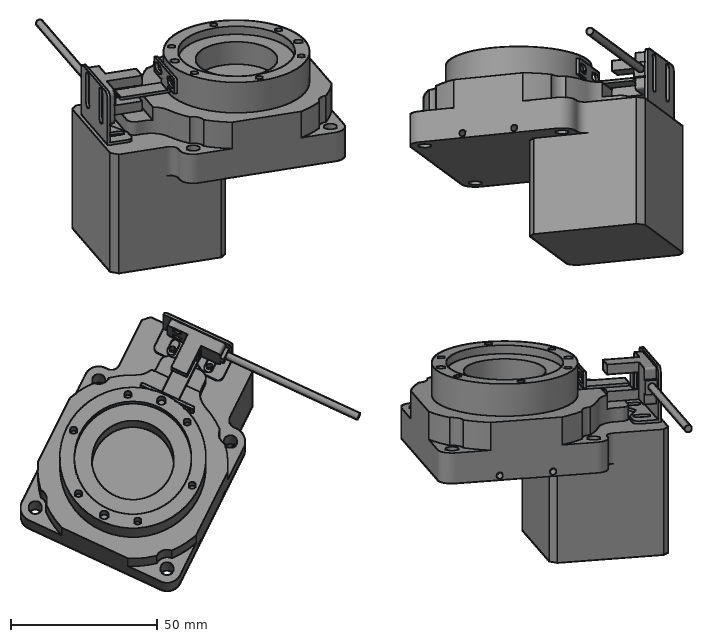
import cadquery as cq
import math

overall_length = 92.2
overall_depth = 83.0

plate_width = 60.0
plate_height = 11.0
plate_corner_radius = 5.0
plate_hole_spacing = 50.0
plate_hole_diameter = 4.5
plate_to_motor_fillet = 2.95

motor_width = 42.0
motor_drop = 34.0
motor_chamfer = 2.3

tier_height = 10.0
tier_radius = 32.5
scallop_radius = 4.0
neck_half_width = 8.5
neck_reach = 42.1
neck_end_radius = 2.95
neck_blend_radius = 8.0
neck_step_reach = 33.8
neck_step_depth = 5.0

table_height = 11.5
table_radius = 25.0
recess_radius = 20.0
recess_depth = 3.0
bore_radius = 14.0
bore_depth = 8.5
table_hole_circle_radius = 22.5
table_screw_count = 6
table_screw_diameter = 2.5
table_dowel_diameter = 3.0
table_hole_depth = 5.0

side_hole_spacing = 18.8
side_hole_height = 1.7
side_hole_diameter = 2.2
side_hole_depth = 5.0
drill_tip_angle = 118.0

bracket_screw_spacing = 14.0
bracket_screw_reach = 45.9
bracket_screw_diameter = 2.0
bracket_screw_depth = 5.0

plate_half = plate_width / 2
plate_top = plate_height
tier_top = plate_top + tier_height
table_top = tier_top + table_height
motor_front = plate_half - overall_depth
motor_center_y = motor_front + motor_width / 2

sheet = 1.0
bend_radius = 0.5

flag_center_x = -0.8
flag_width = 20.0
flag_plate_height = 5.6
flag_corner_radius = 0.55
flag_drop = 2.4
flag_height = 8.0
flag_leg_width = 6.45
flag_leg_corner_radius = 0.5
flag_leg_reach = 43.0
flag_slot_length = 5.9
flag_slot_height = 3.0
flag_slot_spacing = 12.0

bracket_width = 26.0
bracket_height = 19.7
bracket_front = -51.8
bracket_back = -42.3
bracket_corner_radius = 2.0
bracket_slot_width = 3.3
bracket_slot_length = 13.3
bracket_slot_spacing = 13.1
bracket_slot_top_margin = 0.8
foot_slot_width = 2.95
foot_slot_length = 6.0
foot_slot_back = -43.5
foot_notch_half_width = 7.1
foot_notch_depth = 3.9

sensor_height = 13.3
sensor_axis_height = 12.4
sensor_left = -10.7
sensor_left_corner_radius = 0.9
sensor_body_back = -46.5
ear_right = 10.1
ear_back = -48.1
ear_corner_radius = 2.1
jaw_left = -3.5
jaw_right = 2.4
jaw_tip = -35.2
throat_height = 6.1
throat_shoulder = -45.8
rib_end = -44.6
rib_inset = 0.55
rib_chamfer = 0.3
sensor_hole_x = 6.45
sensor_hole_spacing = 6.8
sensor_hole_diameter = 3.3
boss_length = 1.4
boss_height = 5.1
cable_diameter = 2.6
cable_rise = 0.2
cable_y = -48.9

sensor_front = bracket_front + sheet
sensor_z = plate_top + sensor_axis_height


def box(x_range, y_range, z_range):
    """Box between the given limits."""
    (x0, x1), (y0, y1), (z0, z1) = x_range, y_range, z_range
    return cq.Workplane("XY").box(x1 - x0, y1 - y0, z1 - z0, centered=False).translate((x0, y0, z0))


def mirrored(half_width, center=0.0):
    """Range of twice the half width about a centre."""
    return (center - half_width, center + half_width)


def drilled_hole(diameter, depth):
    """Cutter for a blind hole with a conical tip, going down from the origin."""
    radius = diameter / 2
    tip = radius / math.tan(math.radians(drill_tip_angle / 2))
    profile = [(0, 0), (radius, 0), (radius, -depth), (0, -depth - tip)]
    return cq.Workplane("XZ").polyline(profile).close().revolve(360, (0, 0), (0, 1))


def make_plate_and_motor():
    plate = box(mirrored(plate_half), mirrored(plate_half), (0, plate_top))
    plate = plate.edges("|Z").fillet(plate_corner_radius)
    motor = (
        cq.Workplane("XY", origin=(0, motor_center_y, -motor_drop))
        .rect(motor_width, motor_width)
        .extrude(motor_drop + plate_top)
        .edges("|Z")
        .chamfer(motor_chamfer)
    )
    for side in (-1, 1):
        corner_x = side * motor_width / 2
        strip = box(
            sorted((corner_x, corner_x + side * plate_to_motor_fillet)),
            (-plate_half - plate_to_motor_fillet, -plate_half),
            (0, plate_top),
        )
        rounding = (
            cq.Workplane("XY")
            .center(corner_x + side * plate_to_motor_fillet, -plate_half - plate_to_motor_fillet)
            .circle(plate_to_motor_fillet)
            .extrude(plate_top)
        )
        plate = plate.union(strip.cut(rounding))
    return plate.union(motor)


def make_tier():
    disc = cq.Workplane("XY").circle(tier_radius).extrude(tier_height)
    tier = disc.intersect(box(mirrored(plate_half), mirrored(plate_half), (0, tier_height)))

    blend_x = neck_half_width + neck_blend_radius
    blend_y = -math.sqrt((tier_radius + neck_blend_radius) ** 2 - blend_x**2)
    touch = tier_radius / (tier_radius + neck_blend_radius)
    web = (
        cq.Workplane("XY")
        .polyline([
            (0, 0),
            (-blend_x * touch, blend_y * touch),
            (-blend_x, blend_y),
            (blend_x, blend_y),
            (blend_x * touch, blend_y * touch),
        ])
        .close()
        .extrude(tier_height)
    )
    blends = (
        cq.Workplane("XY")
        .pushPoints([(-blend_x, blend_y), (blend_x, blend_y)])
        .circle(neck_blend_radius)
        .extrude(tier_height)
    )
    neck = box(mirrored(neck_half_width), (-neck_reach, 0), (0, tier_height))
    neck = neck.edges("|Z and <Y").fillet(neck_end_radius)
    tier = tier.union(web.cut(blends)).union(neck)

    step = box(
        mirrored(tier_radius),
        (-neck_reach, -neck_step_reach),
        (tier_height - neck_step_depth, tier_height),
    )
    scallops = (
        cq.Workplane("XY")
        .rect(plate_hole_spacing, plate_hole_spacing, forConstruction=True)
        .vertices()
        .circle(scallop_radius)
        .extrude(tier_height)
    )
    return tier.cut(step).cut(scallops).translate((0, 0, plate_top))


def make_table():
    table = cq.Workplane("XY", origin=(0, 0, tier_top)).circle(table_radius).extrude(table_height)
    return (
        table.faces(">Z").workplane()
        .pushPoints([(0, table_hole_circle_radius), (0, -table_hole_circle_radius)])
        .hole(table_dowel_diameter, table_hole_depth)
    )


def make_housing():
    housing = make_plate_and_motor().union(make_tier()).union(make_table())
    recess = cq.Workplane("XY", origin=(0, 0, table_top)).circle(recess_radius).extrude(-recess_depth)
    bore = (
        cq.Workplane("XY", origin=(0, 0, table_top))
        .circle(bore_radius)
        .extrude(-recess_depth - bore_depth)
    )
    mounting_holes = (
        cq.Workplane("XY")
        .rect(plate_hole_spacing, plate_hole_spacing, forConstruction=True)
        .vertices()
        .circle(plate_hole_diameter / 2)
        .extrude(plate_top)
    )
    housing = housing.cut(recess).cut(bore).cut(mounting_holes)

    table_screw = drilled_hole(table_screw_diameter, table_hole_depth)
    for index in range(table_screw_count):
        angle = 360 * index / table_screw_count
        hole = table_screw.translate((table_hole_circle_radius, 0, table_top))
        housing = housing.cut(hole.rotate((0, 0, 0), (0, 0, 1), angle))

    bracket_screw = drilled_hole(bracket_screw_diameter, bracket_screw_depth)
    side_hole = drilled_hole(side_hole_diameter, side_hole_depth).rotate((0, 0, 0), (0, 1, 0), -90)
    for side in (-1, 1):
        screw_x = side * bracket_screw_spacing / 2
        housing = housing.cut(bracket_screw.translate((screw_x, -bracket_screw_reach, plate_top)))
        hole_y = side * side_hole_spacing / 2
        housing = housing.cut(side_hole.translate((-plate_half, hole_y, side_hole_height)))
    return housing


def make_flag():
    top = table_top - flag_drop
    bottom = top - flag_height
    back = -table_radius
    leg_x = mirrored(flag_leg_width / 2, flag_center_x)
    plate = box(
        mirrored(flag_width / 2, flag_center_x),
        (back - sheet, back),
        (top - flag_plate_height, top),
    )
    plate = plate.edges("|Y").fillet(flag_corner_radius)
    slots = (
        cq.Workplane("XZ", origin=(flag_center_x, back, top - flag_plate_height / 2))
        .pushPoints([(-flag_slot_spacing / 2, 0), (flag_slot_spacing / 2, 0)])
        .slot2D(flag_slot_length, flag_slot_height)
        .extrude(sheet)
    )
    web = box(leg_x, (back - sheet, back), (bottom, top - flag_plate_height / 2))
    leg = box(leg_x, (-flag_leg_reach, back), (bottom, bottom + sheet))
    leg = leg.edges("|Z and <Y").fillet(flag_leg_corner_radius)
    angle = web.union(leg).edges("|X and >Y and <Z").fillet(bend_radius)
    return plate.cut(slots).union(angle)


def make_bracket():
    x_range = mirrored(bracket_width / 2)
    plate = box(x_range, (bracket_front, sensor_front), (plate_top, plate_top + bracket_height))
    plate = plate.edges("|Y and >Z").fillet(bracket_corner_radius)
    foot = box(x_range, (bracket_front, bracket_back), (plate_top, plate_top + sheet))
    foot = foot.edges("|Z and >Y").fillet(bracket_corner_radius)
    bracket = plate.union(foot).edges("|X and <Y and <Z").fillet(bend_radius)

    slot_z = plate_top + bracket_height - bracket_slot_top_margin - bracket_slot_length / 2
    sensor_slots = (
        cq.Workplane("XZ", origin=(0, sensor_front, slot_z))
        .pushPoints([(-bracket_slot_spacing / 2, 0), (bracket_slot_spacing / 2, 0)])
        .slot2D(bracket_slot_length, bracket_slot_width, 90)
        .extrude(sheet)
    )
    foot_slots = (
        cq.Workplane("XY", origin=(0, foot_slot_back - foot_slot_length / 2, plate_top))
        .pushPoints([(-bracket_screw_spacing / 2, 0), (bracket_screw_spacing / 2, 0)])
        .slot2D(foot_slot_length, foot_slot_width, 90)
        .extrude(sheet)
    )
    notch = (
        cq.Workplane("XY", origin=(0, bracket_back, plate_top))
        .polyline([(-foot_notch_half_width, 0), (0, -foot_notch_depth), (foot_notch_half_width, 0)])
        .close()
        .extrude(sheet)
    )
    return bracket.cut(sensor_slots).cut(foot_slots).cut(notch)


def make_sensor():
    z_range = mirrored(sensor_height / 2, sensor_z)
    body = box((sensor_left, jaw_right), (sensor_front, sensor_body_back), z_range)
    body = body.edges("|Y and <X").fillet(sensor_left_corner_radius)
    ear = box((jaw_right, ear_right), (sensor_front, ear_back), z_range)
    ear = ear.edges("|Y and >X").fillet(ear_corner_radius)
    holes = (
        cq.Workplane("XZ", origin=(sensor_hole_x, ear_back, sensor_z))
        .pushPoints([(0, -sensor_hole_spacing / 2), (0, sensor_hole_spacing / 2)])
        .circle(sensor_hole_diameter / 2)
        .extrude(ear_back - sensor_front)
    )

    jaw_x = (jaw_left, jaw_right)
    throat_z = mirrored(throat_height / 2, sensor_z)
    jaws = box(jaw_x, (sensor_body_back, jaw_tip), z_range)
    jaws = jaws.cut(box(jaw_x, (sensor_body_back, jaw_tip), throat_z))
    shoulder = box(jaw_x, (sensor_body_back, throat_shoulder), throat_z)
    rib = box((jaw_left + rib_inset, jaw_right - rib_inset), (throat_shoulder, rib_end), throat_z)
    rib = rib.edges("|Z and >Y").chamfer(rib_chamfer)

    boss = box(
        (sensor_left - boss_length, sensor_left),
        (sensor_front, sensor_body_back),
        mirrored(boss_height / 2, sensor_z),
    )
    cable_start = sensor_left - boss_length
    cable_end = plate_half - overall_length
    cable = (
        cq.Workplane("YZ", origin=(cable_end, cable_y, sensor_z + cable_rise))
        .circle(cable_diameter / 2)
        .extrude(cable_start - cable_end)
    )
    sensor = body.union(ear.cut(holes))
    for piece in (jaws, shoulder, rib, boss, cable):
        sensor = sensor.union(piece)
    return sensor


housing = make_housing()
flag = make_flag()
bracket = make_bracket()
sensor = make_sensor()

result = cq.Compound.makeCompound([
    housing.solids().val(),
    flag.solids().val(),
    bracket.solids().val(),
    sensor.solids().val(),
])